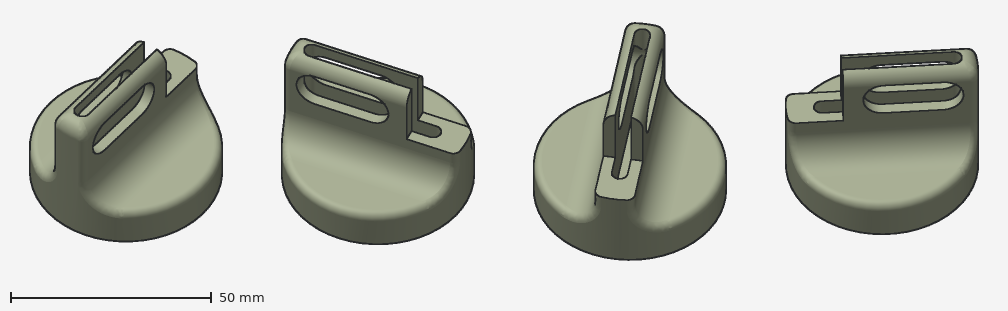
import cadquery as cq

base_diameter = 48.0
total_height = 37.5
base_height = 10.45
grip_width = 10.0
grip_half = grip_width / 2
root_radius = 8.0
rim_radius = 2.0
crown_radius = 4.0

step_y = grip_width
step_height = 21.95

window_length = 25.0
window_height = grip_width
window_y = -7.5
window_z = 28.95

slot_width = 4.0
slot_front_y = -19.9
slot_back_y = 17.0
slot_floor_z = base_height

grip_root_z = base_height + root_radius
flat_edge_x = grip_half + root_radius
base_radius = base_diameter / 2
tolerance = 0.05


def make_body():
    """Knob silhouette with flared grip roots, trimmed to a round outline."""
    silhouette = (
        cq.Workplane("XZ")
        .moveTo(-base_diameter, 0)
        .lineTo(base_diameter, 0)
        .lineTo(base_diameter, base_height)
        .lineTo(flat_edge_x, base_height)
        .radiusArc((grip_half, grip_root_z), root_radius)
        .lineTo(grip_half, total_height)
        .lineTo(-grip_half, total_height)
        .lineTo(-grip_half, grip_root_z)
        .radiusArc((-flat_edge_x, base_height), root_radius)
        .lineTo(-base_diameter, base_height)
        .close()
        .extrude(base_diameter, both=True)
    )
    cylinder = cq.Workplane("XY").circle(base_radius).extrude(total_height)
    return cylinder.intersect(silhouette)


def round_edges(body):
    """Round the crown of the grip, then the whole outer rim below it."""
    crowned = body.faces(">Z").edges().fillet(crown_radius)
    rim_edges = []
    for edge in crowned.edges().vals():
        middle = edge.positionAt(0.5)
        on_rim = abs(middle.x**2 + middle.y**2 - base_radius**2) < tolerance
        below_crown = tolerance < middle.z < total_height - crown_radius - tolerance
        vertical_seam = edge.geomType() == "LINE" and abs(abs(middle.x) - grip_half) > tolerance
        if on_rim and below_crown and not vertical_seam:
            rim_edges.append(edge)
    return crowned.newObject(rim_edges).fillet(rim_radius)


def make_step():
    """Block removed above the lowered back of the grip."""
    return (
        cq.Workplane("XY")
        .box(grip_width, base_radius, total_height, centered=(True, False, False))
        .translate((0, step_y, step_height))
    )


def make_window():
    """Round-ended opening through the grip along X."""
    return (
        cq.Workplane("YZ")
        .center(window_y, window_z)
        .slot2D(window_length, window_height)
        .extrude(grip_width, both=True)
    )


def make_slot():
    """Round-ended slot along Y, sunk down to the level of the base top."""
    return (
        cq.Workplane("XY", origin=(0, (slot_front_y + slot_back_y) / 2, slot_floor_z))
        .slot2D(slot_back_y - slot_front_y, slot_width, 90)
        .extrude(total_height)
    )


result = round_edges(make_body()).cut(make_step()).cut(make_window()).cut(make_slot())